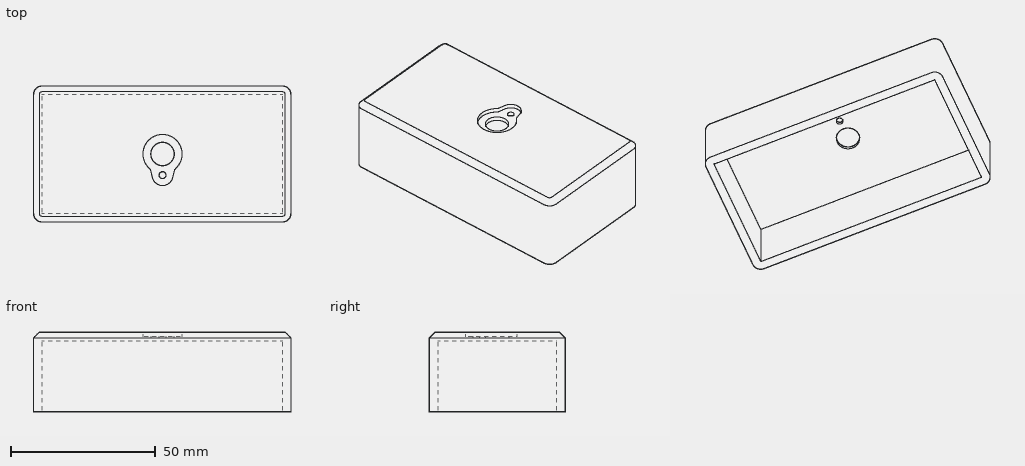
import cadquery as cq
import math

length = 88.85
width = 47.0
height = 27.5
corner_radius = 3.0
top_chamfer = 2.0

wall = 3.0
roof = 3.0

recess_depth = 1.5
keyhole_x = 0.1
head_radius = 6.75
main_hole_diameter = 8.0
tail_radius = 3.6
tail_offset = 7.3
small_hole_diameter = 2.3
neck_half_width = 4.2
neck_radius = 1.5


def make_shell():
    """Box with rounded vertical corners and a chamfered top, hollowed from below."""
    body = (
        cq.Workplane("XY")
        .box(length, width, height, centered=(True, True, False))
        .edges("|Z")
        .fillet(corner_radius)
        .faces(">Z")
        .chamfer(top_chamfer)
    )
    cavity = cq.Workplane("XY").box(
        length - 2 * wall,
        width - 2 * wall,
        height - roof,
        centered=(True, True, False),
    )
    return body.cut(cavity)


def make_recess():
    """Round head joined to a smaller round tail by flanks tangent to the tail."""
    neck_y = -math.sqrt(head_radius**2 - neck_half_width**2)

    neck_rise = neck_y + tail_offset
    neck_distance = math.hypot(neck_half_width, neck_rise)
    neck_angle = math.atan2(neck_rise, neck_half_width)
    tangent_angle = neck_angle - math.acos(tail_radius / neck_distance)
    tangent_x = tail_radius * math.cos(tangent_angle)
    tangent_y = tail_radius * math.sin(tangent_angle) - tail_offset

    reach = 0.1
    neck_edges = cq.selectors.BoxSelector(
        (keyhole_x - neck_half_width - reach, neck_y - reach, 0),
        (keyhole_x + neck_half_width + reach, neck_y + reach, height),
    )

    return (
        cq.Workplane("XY")
        .workplane(offset=height - recess_depth)
        .center(keyhole_x, 0)
        .moveTo(neck_half_width, neck_y)
        .threePointArc((0, head_radius), (-neck_half_width, neck_y))
        .lineTo(-tangent_x, tangent_y)
        .threePointArc((0, -tail_offset - tail_radius), (tangent_x, tangent_y))
        .close()
        .extrude(recess_depth)
        .edges("|Z")
        .edges(neck_edges)
        .fillet(neck_radius)
    )


def make_hole(diameter, y):
    """Vertical cylinder through the full height on the keyhole's centreline."""
    return cq.Workplane("XY").center(keyhole_x, y).circle(diameter / 2).extrude(height)


result = (
    make_shell()
    .cut(make_recess())
    .cut(make_hole(main_hole_diameter, 0))
    .cut(make_hole(small_hole_diameter, -tail_offset))
)